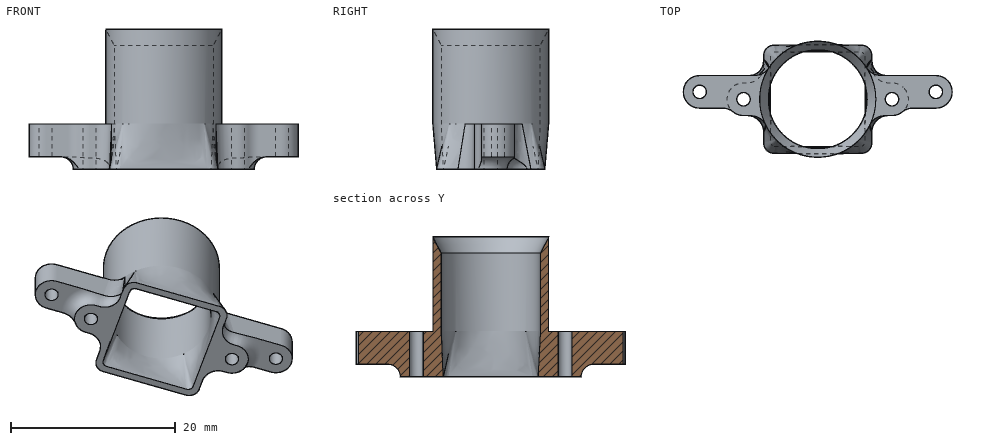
import cadquery as cq
import math

tube_radius = 7.05
bore_radius = 6.0
total_height = 17.0
rim_chamfer_height = 2.0

base_height = 5.5
base_half_width = 6.577
base_corner_radius = 1.3
opening_half_width = 5.75
opening_corner_radius = 0.65
corner_half_angle = 0.5

overall_length = 32.65
round_radius = 2.0
hole_diameter = 1.6
tip_x = overall_length / 2 - round_radius
tip_y = 0.898
pad_x = 9.0
arm_bottom = 1.5
arm_root_x = 4.57
arm_back_y = tip_y + round_radius
arm_front_y = tip_y - round_radius


def polar(radius, degrees):
    angle = math.radians(degrees)
    return (radius * math.cos(angle), radius * math.sin(angle))


def square_to_circle(half_width, corner_radius, circle_radius):
    """Ruled blend from a rounded square at z = 0 to a circle at the base top."""
    flat = half_width - corner_radius
    square = cq.Workplane("XY").moveTo(half_width, -flat)
    circle = cq.Workplane("XY").workplane(offset=base_height)
    circle = circle.moveTo(*polar(circle_radius, -45 + corner_half_angle))
    for quarter in range(4):
        turn = 90 * quarter
        flat_angle = math.degrees(math.atan2(flat, half_width))
        flat_reach = math.hypot(flat, half_width)
        corner_reach = flat * math.sqrt(2) + corner_radius
        square = square.lineTo(*polar(flat_reach, turn + flat_angle))
        square = square.threePointArc(
            polar(corner_reach, turn + 45), polar(flat_reach, turn + 90 - flat_angle)
        )
        circle = circle.threePointArc(
            polar(circle_radius, turn), polar(circle_radius, turn + 45 - corner_half_angle)
        )
        circle = circle.threePointArc(
            polar(circle_radius, turn + 45), polar(circle_radius, turn + 45 + corner_half_angle)
        )
    sections = [square.close().val(), circle.close().val()]
    return cq.Workplane(cq.Solid.makeLoft(sections, True))


def arm_plate():
    """Right arm: round tip, stepped front edge and round pad, over the full base height."""
    blend_y = arm_front_y - round_radius
    blend_x = pad_x + math.sqrt((2 * round_radius) ** 2 - blend_y**2)
    join = ((pad_x + blend_x) / 2, blend_y / 2)
    pad_mid_angle = (-90 + math.degrees(math.atan2(join[1], join[0] - pad_x))) / 2
    pad_offset = polar(round_radius, pad_mid_angle)
    blend_mid_angle = (90 + math.degrees(math.atan2(-blend_y, pad_x - blend_x))) / 2
    blend_offset = polar(round_radius, blend_mid_angle)
    return (
        cq.Workplane("XY")
        .moveTo(arm_root_x, arm_back_y)
        .lineTo(tip_x, arm_back_y)
        .threePointArc((tip_x + round_radius, tip_y), (tip_x, arm_front_y))
        .lineTo(blend_x, arm_front_y)
        .threePointArc((blend_x + blend_offset[0], blend_y + blend_offset[1]), join)
        .threePointArc((pad_x + pad_offset[0], pad_offset[1]), (pad_x, -round_radius))
        .lineTo(arm_root_x, -round_radius)
        .close()
        .extrude(base_height)
    )


def flared_foot():
    """Foot under the pad that flares out to the arm underside with a concave quarter round."""
    def flare_profile(plane):
        middle = arm_bottom * math.sqrt(0.5)
        flare_radius = round_radius + arm_bottom
        return (
            plane.lineTo(round_radius, 0)
            .threePointArc((flare_radius - middle, middle), (flare_radius, arm_bottom))
            .lineTo(0, arm_bottom)
            .close()
        )

    round_end = flare_profile(cq.Workplane("XZ")).revolve(360, (0, 0), (0, 1))
    half_foot = flare_profile(cq.Workplane("YZ")).extrude(arm_root_x - pad_x)
    return round_end.union(half_foot).union(half_foot.mirror("XZ")).translate((pad_x, 0, 0))


def root_blend(edge_y, side):
    """Concave blend between an arm edge and the base; side is +1 at the back, -1 in front."""
    centre_y = edge_y + round_radius
    reach = tube_radius + round_radius
    top_x = math.sqrt(reach**2 - centre_y**2)
    top_contact = (top_x * tube_radius / reach, centre_y * tube_radius / reach)
    bottom_x = base_half_width + round_radius

    def section(z, centre_x, contact):
        start = (centre_x, edge_y)
        contact_angle = math.degrees(math.atan2(contact[1] - centre_y, contact[0] - centre_x)) % 360
        offset = polar(round_radius, (contact_angle + 270) / 2)
        middle = (centre_x + offset[0], centre_y + offset[1])
        return (
            cq.Workplane("XY").workplane(offset=z)
            .moveTo(start[0], side * start[1])
            .threePointArc((middle[0], side * middle[1]), (contact[0], side * contact[1]))
            .lineTo(arm_root_x, side * contact[1])
            .lineTo(arm_root_x, side * edge_y)
            .close()
            .val()
        )

    bottom = section(0, bottom_x, (base_half_width, centre_y))
    top = section(base_height, top_x, top_contact)
    return cq.Workplane(cq.Solid.makeLoft([bottom, top], True))


def root_flare():
    """Continues the foot's flare around the concave blend at the back of the arm root."""
    centre_x = base_half_width + round_radius
    centre_y = 2 * round_radius
    middle = arm_bottom * math.sqrt(0.5)
    hollow = (
        cq.Workplane("XZ")
        .lineTo(round_radius, 0)
        .threePointArc(
            (round_radius - arm_bottom + middle, middle), (round_radius - arm_bottom, arm_bottom)
        )
        .lineTo(0, arm_bottom)
        .close()
        .revolve(360, (0, 0), (0, 1))
        .translate((centre_x, centre_y, 0))
    )
    block = cq.Workplane("XY").box(
        centre_x - arm_root_x, base_half_width, arm_bottom, centered=False
    )
    return block.translate((arm_root_x, 0, 0)).cut(hollow)


def right_arm():
    above_underside = (
        cq.Workplane("XY")
        .box(overall_length, overall_length, base_height, centered=(True, True, False))
        .translate((0, 0, arm_bottom))
    )
    plate = arm_plate()
    back_blend = root_blend(arm_back_y, 1)
    outline = plate.union(back_blend)
    foot = outline.intersect(flared_foot().union(root_flare()))
    arm = outline.intersect(above_underside).union(foot)
    for side in (1, -1):
        arm = arm.union(root_blend(round_radius, side))
    holes = (
        cq.Workplane("XY")
        .pushPoints([(pad_x, 0), (tip_x, tip_y)])
        .circle(hole_diameter / 2)
        .extrude(base_height)
    )
    return arm.cut(holes)


tube = (
    cq.Workplane("XY")
    .workplane(offset=base_height)
    .circle(tube_radius)
    .extrude(total_height - base_height)
)
base = square_to_circle(base_half_width, base_corner_radius, tube_radius)
arm = right_arm()
body = base.union(tube).union(arm).union(arm.mirror("YZ"))

opening = square_to_circle(opening_half_width, opening_corner_radius, bore_radius)
chamfer_start = total_height - rim_chamfer_height
bore = (
    cq.Workplane("XZ")
    .moveTo(0, base_height)
    .lineTo(bore_radius, base_height)
    .lineTo(bore_radius, chamfer_start)
    .lineTo(tube_radius, total_height)
    .lineTo(0, total_height)
    .close()
    .revolve(360, (0, 0), (0, 1))
)
result = body.cut(opening).cut(bore)